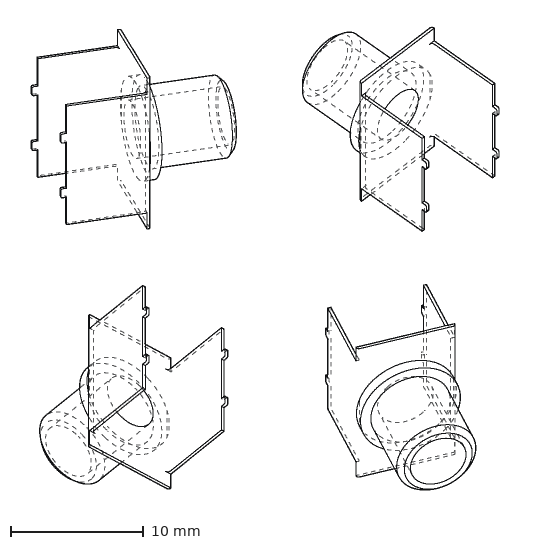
import cadquery as cq

total_length = 14.16
sheet = 0.25
bore_diameter = 4.45

plate_width = 7.9
plate_height = 13.0
wall_height = 10.22
outer_corner_radius = 0.2
inner_bend_radius = 0.25

tab_length = 0.45
tab_height = 0.78
tab_offset = 2.36
tab_corner_radius = 0.14

flange_diameter = 8.0
flange_thickness = 0.89
barrel_diameter = 6.35
barrel_length = 6.23
barrel_chamfer = 0.45

flange_start = sheet
barrel_start = flange_start + flange_thickness
wall_length = total_length - barrel_start - barrel_length - tab_length
wall_center = (plate_width - sheet) / 2


def cylinder_along_y(diameter, start, length):
    plane = cq.Workplane("XZ", origin=(0, start, 0))
    return plane.circle(diameter / 2).extrude(-length)


def make_plate():
    plate = cq.Workplane("XY").box(plate_width, sheet, plate_height, centered=(True, False, True))
    return plate.edges("|Z and >Y").fillet(outer_corner_radius)


def make_wall(side):
    """Side wall that reaches back from the plate; side is -1 or 1 along X."""
    wall = cq.Workplane("XY").box(sheet, wall_length, wall_height)
    return wall.translate((side * wall_center, -wall_length / 2, 0))


def make_bend(side):
    """Concave fillet between the plate and the inner face of a wall."""
    face_x = side * (plate_width / 2 - sheet)
    center_x = face_x - side * inner_bend_radius
    corner = cq.Workplane("XY").box(inner_bend_radius, inner_bend_radius, wall_height)
    corner = corner.translate((face_x - side * inner_bend_radius / 2, -inner_bend_radius / 2, 0))
    hollow = cq.Workplane("XY").cylinder(wall_height, inner_bend_radius)
    return corner.cut(hollow.translate((center_x, -inner_bend_radius, 0)))


def make_tab(side, level):
    """Rounded tab on the free edge of a wall, centered at height level."""
    tab = cq.Workplane("XY").box(sheet, tab_length, tab_height)
    tab = tab.edges("|X and <Y").fillet(tab_corner_radius)
    return tab.translate((side * wall_center, -wall_length - tab_length / 2, level))


part = make_plate()
for side in (-1, 1):
    part = part.union(make_wall(side)).union(make_bend(side))
    for level in (-tab_offset, tab_offset):
        part = part.union(make_tab(side, level))

barrel = cylinder_along_y(barrel_diameter, barrel_start, barrel_length)
barrel = barrel.faces(">Y").chamfer(barrel_chamfer)
part = part.union(cylinder_along_y(flange_diameter, flange_start, flange_thickness)).union(barrel)

result = part.cut(cylinder_along_y(bore_diameter, 0, barrel_start + barrel_length))